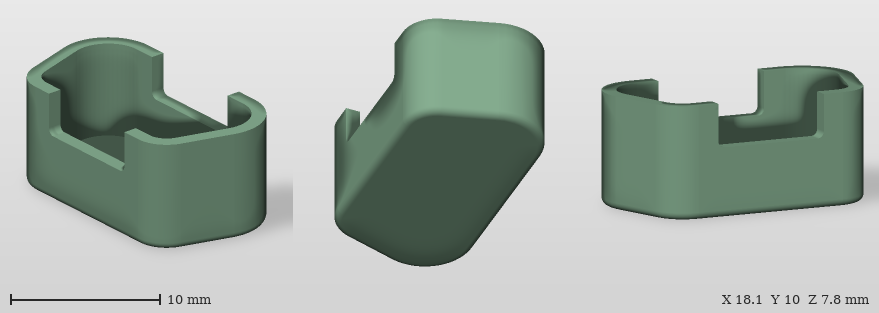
import cadquery as cq
import math

length = 18.1
depth = 10.0
height = 7.8

wall = 1.0
floor_thickness = 1.0
bottom_fillet = 0.49

back_radius = 3.5
front_radius = 2.5
back_center_x = length / 2 - back_radius
back_center_y = depth / 2 - back_radius
front_center_x = 5.38
front_center_y = front_radius - depth / 2

notch_width = 7.9
notch_depth = 3.0
notch_fillet = 0.45

center_dx = back_center_x - front_center_x
center_dy = back_center_y - front_center_y
side_angle = math.atan2(center_dx, center_dy) + math.asin(
    (back_radius - front_radius) / math.hypot(center_dx, center_dy)
)


def arc_point(center_x, center_y, radius, angle, side):
    """Point on a corner arc; side is +1 for +X and -1 for its mirror image."""
    x = center_x + radius * math.cos(angle)
    y = center_y + radius * math.sin(angle)
    return (side * x, y)


def rounded_trapezoid(inset, base_z):
    """Closed outline of the body, moved inward by inset."""

    def back(angle, side):
        return arc_point(back_center_x, back_center_y, back_radius - inset, angle, side)

    def front(angle, side):
        return arc_point(front_center_x, front_center_y, front_radius - inset, angle, side)

    up = math.pi / 2
    tangent = -side_angle
    back_mid = (up + tangent) / 2
    front_mid = (tangent - up) / 2
    return (
        cq.Workplane("XY", origin=(0, 0, base_z))
        .moveTo(*back(up, -1))
        .lineTo(*back(up, 1))
        .threePointArc(back(back_mid, 1), back(tangent, 1))
        .lineTo(*front(tangent, 1))
        .threePointArc(front(front_mid, 1), front(-up, 1))
        .lineTo(*front(-up, -1))
        .threePointArc(front(front_mid, -1), front(tangent, -1))
        .lineTo(*back(tangent, -1))
        .threePointArc(back(back_mid, -1), back(up, -1))
        .close()
    )


body = rounded_trapezoid(0, 0).extrude(height).faces("<Z").edges().fillet(bottom_fillet)
cavity = rounded_trapezoid(wall, floor_thickness).extrude(height - floor_thickness)

notch = (
    cq.Workplane("XY", origin=(0, 0, height - notch_depth))
    .box(notch_width, depth, notch_depth, centered=(True, True, False))
    .faces("<Z")
    .edges("|Y")
    .fillet(notch_fillet)
)

result = body.cut(cavity).cut(notch)